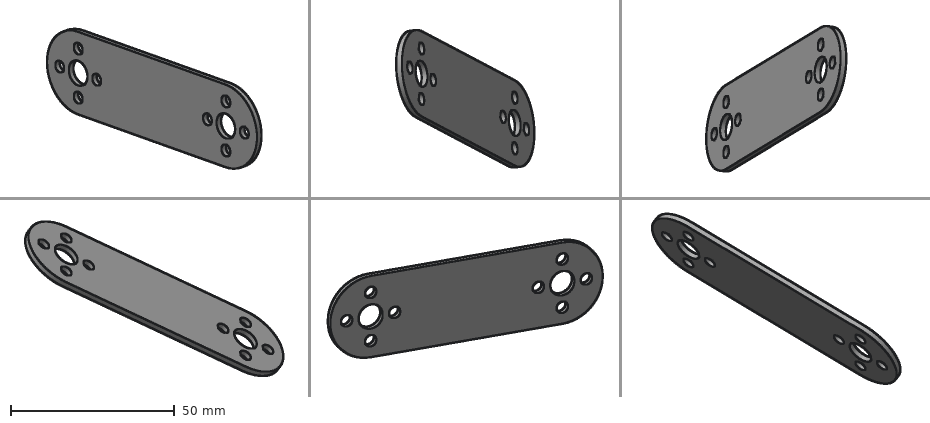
import cadquery as cq

length = 91.0
width = 27.0
thickness = 2.0
center_hole_diameter = 8.0
small_hole_diameter = 3.7
small_hole_circle_radius = 8.0
small_holes_per_end = 4

end_spacing = length - width
end_centers = [(-end_spacing / 2, 0), (end_spacing / 2, 0)]

back_plane = cq.Workplane("XZ", origin=(0, thickness / 2, 0))


def make_plate():
    """Round-ended plate parallel to the XZ plane, centred on the origin."""
    return back_plane.slot2D(length, width).extrude(thickness)


def make_hole_group(center):
    """Cutter for one central hole ringed by evenly spaced small holes."""
    plane = back_plane.center(*center)
    central_hole = plane.circle(center_hole_diameter / 2).extrude(thickness)
    small_holes = (
        plane.polarArray(small_hole_circle_radius, 0, 360, small_holes_per_end)
        .circle(small_hole_diameter / 2)
        .extrude(thickness)
    )
    return central_hole.union(small_holes)


result = make_plate()
for end_center in end_centers:
    result = result.cut(make_hole_group(end_center))